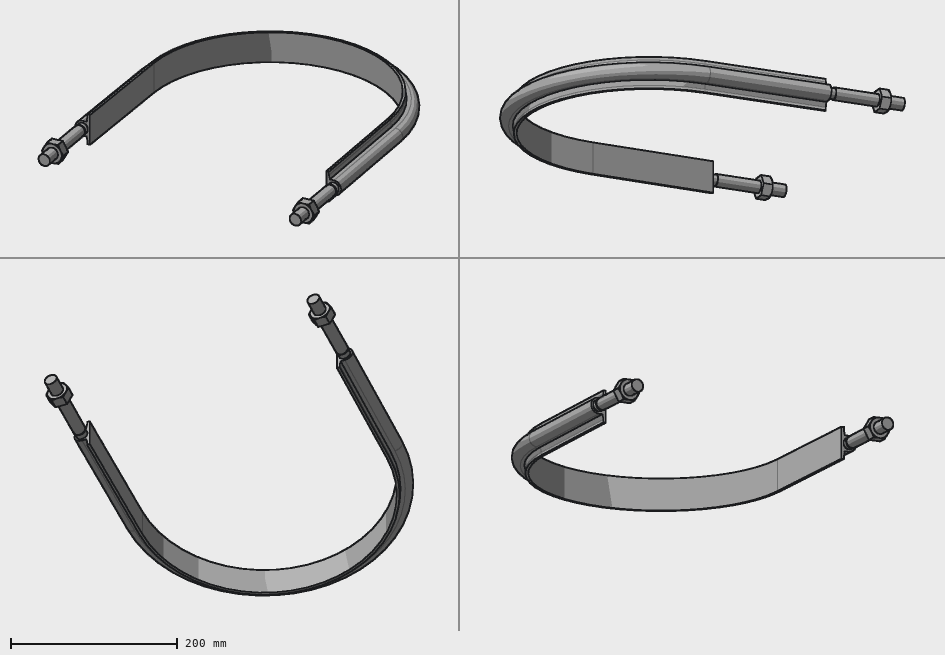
import cadquery as cq
import math

overall_width = 371.0
nut_flats = 25.5
nut_corners = nut_flats / math.cos(math.pi / 6)
nut_inner_y = -184.0
nut_height = 13.0
nut_chamfer_angle = math.radians(30)

bend_radius = 169.0
leg_x = (overall_width - nut_corners) / 2
rod_diameter = 14.0
thread_diameter = 15.5
tip_y = -217.5
thread_start_y = -127.0
neck_overlap = 2.0

bore_diameter = 14.5
wall = 2.83
sheath_radius = bore_diameter / 2 + wall
strip_height = 40.0
strip_edge = 4.0
foot_rise = 1.5
strip_thickness = 3.5
liner_end_y = -119.5
total_length = 434.8
bend_y = tip_y + total_length - bend_radius - sheath_radius

leg_drop = bend_y - liner_end_y
end_distance = math.hypot(leg_x, leg_drop)
splay = math.acos(bend_radius / end_distance) - math.atan2(leg_drop, leg_x)
tangent_x = bend_radius * math.cos(splay)
tangent_y = bend_y + bend_radius * math.sin(splay)


def u_path():
    """Rod axis inside the liner, from the left leg end to the right leg end."""
    return (
        cq.Workplane("XY")
        .moveTo(-leg_x, liner_end_y)
        .lineTo(-tangent_x, tangent_y)
        .threePointArc((0, bend_y + bend_radius), (tangent_x, tangent_y))
        .lineTo(leg_x, liner_end_y)
    )


def section_plane():
    """Plane across the left leg end; local x points into the U, local y points down."""
    return cq.Workplane(
        cq.Plane(
            origin=(-leg_x, liner_end_y, 0),
            xDir=(math.cos(splay), -math.sin(splay), 0),
            normal=(math.sin(splay), math.cos(splay), 0),
        )
    )


def cylinder_along_y(x, y_start, y_end, diameter):
    return (
        cq.Workplane("XZ", origin=(x, y_start, 0))
        .circle(diameter / 2)
        .extrude(y_start - y_end)
    )


def make_liner():
    half_height = strip_height / 2
    inner_face = sheath_radius
    outer_face = inner_face - strip_thickness
    foot_end = half_height - strip_edge
    foot_face = outer_face - foot_rise

    profile = (
        section_plane()
        .moveTo(inner_face, -half_height)
        .lineTo(inner_face, half_height)
        .lineTo(outer_face, half_height)
        .lineTo(outer_face, foot_end)
        .lineTo(foot_face, sheath_radius)
        .lineTo(0, sheath_radius)
        .threePointArc((-sheath_radius, 0), (0, -sheath_radius))
        .lineTo(foot_face, -sheath_radius)
        .lineTo(outer_face, -foot_end)
        .lineTo(outer_face, -half_height)
        .close()
    )
    bore = section_plane().circle(bore_diameter / 2).sweep(u_path())
    return profile.sweep(u_path()).cut(bore)


def make_u_bolt():
    bolt = section_plane().circle(rod_diameter / 2).sweep(u_path())
    for x in (-leg_x, leg_x):
        neck = cylinder_along_y(x, liner_end_y + neck_overlap, thread_start_y, rod_diameter)
        thread = cylinder_along_y(x, thread_start_y, tip_y, thread_diameter)
        bolt = bolt.union(neck.union(thread))
    return bolt


def make_nut(x):
    hexagon = (
        cq.Workplane("XZ", origin=(x, nut_inner_y, 0))
        .polygon(6, nut_corners)
        .extrude(nut_height)
    )
    corner_radius = nut_corners / 2
    flat_radius = nut_flats / 2
    chamfer_depth = (corner_radius - flat_radius) * math.tan(nut_chamfer_angle)
    envelope = (
        cq.Workplane("XY")
        .polyline([
            (0, 0),
            (corner_radius, 0),
            (corner_radius, chamfer_depth - nut_height),
            (flat_radius, -nut_height),
            (0, -nut_height),
        ])
        .close()
        .revolve(360, (0, 0, 0), (0, 1, 0))
        .translate((x, nut_inner_y, 0))
    )
    hole = cylinder_along_y(x, nut_inner_y, nut_inner_y - nut_height, thread_diameter)
    return hexagon.intersect(envelope).cut(hole)


liner = make_liner()
u_bolt = make_u_bolt()
nuts = [make_nut(x) for x in (-leg_x, leg_x)]

result = cq.Compound.makeCompound([liner.val(), *u_bolt.vals(), *[nut.val() for nut in nuts]])